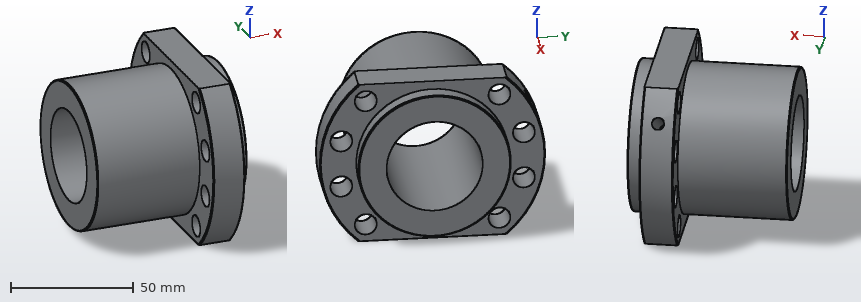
import cadquery as cq

total_length = 66.0
body_diameter = 63.0
bore_diameter = 39.6
edge_chamfer = 0.5

flange_diameter = 93.0
flange_thickness = 13.95
flange_height = 70.0
rear_spigot_length = 7.0
flange_start = total_length - rear_spigot_length - flange_thickness

bolt_hole_diameter = 9.0
bolt_circle_radius = 39.0
bolt_angles = [side + offset for side in (0, 180) for offset in (-45, -15, 15, 45)]

oil_hole_diameter = 5.0
oil_hole_angle = 30


def chamfered_disc(start, length, diameter):
    """Cylinder along X with both end edges chamfered."""
    disc = cq.Workplane("YZ").workplane(offset=start).circle(diameter / 2).extrude(length)
    return disc.edges("%CIRCLE").chamfer(edge_chamfer)


def make_flange():
    """Round flange trimmed by flats at top and bottom."""
    disc = chamfered_disc(flange_start, flange_thickness, flange_diameter)
    flats = cq.Workplane("XY").box(2 * total_length, flange_diameter, flange_height)
    return disc.intersect(flats)


def make_bolt_holes():
    """Through holes on both lobes of the flange."""
    holes = cq.Workplane("YZ")
    for angle in bolt_angles:
        hole = (
            cq.Workplane("YZ", origin=(flange_start, 0, 0))
            .transformed(rotate=(0, 0, angle))
            .center(bolt_circle_radius, 0)
            .circle(bolt_hole_diameter / 2)
            .extrude(flange_thickness)
        )
        holes = holes.add(hole)
    return holes.combine()


def make_oil_hole():
    """Radial hole from the flange rim into the bore, at mid flange."""
    hole = (
        cq.Workplane("XZ", origin=(flange_start + flange_thickness / 2, 0, 0))
        .circle(oil_hole_diameter / 2)
        .extrude(-flange_diameter)
    )
    return hole.rotate((0, 0, 0), (1, 0, 0), oil_hole_angle)


body = chamfered_disc(0, total_length, body_diameter)
bore = cq.Workplane("YZ").circle(bore_diameter / 2).extrude(total_length)

result = body.union(make_flange()).cut(bore).cut(make_bolt_holes()).cut(make_oil_hole())